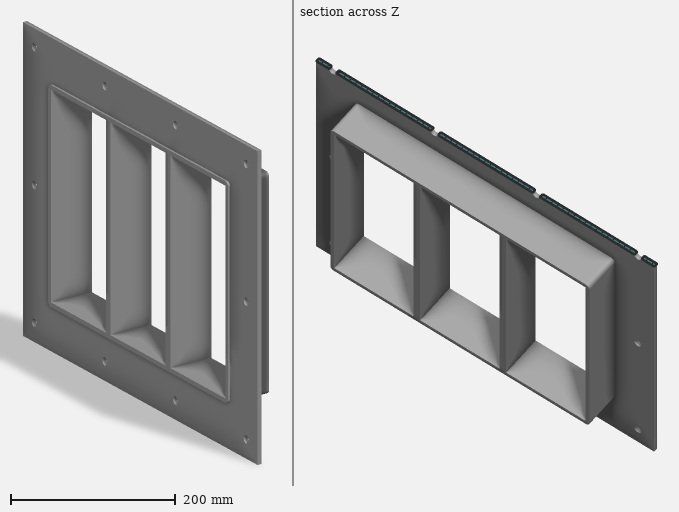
import cadquery as cq

flange_width = 513.5
flange_height = 410.0
flange_thickness = 6.0

flange_margin = 60.0
duct_width = flange_width - 2 * flange_margin
duct_height = flange_height - 2 * flange_margin
duct_depth = 60.0
duct_front_lip = 3.0
duct_wall = 6.0
duct_corner_radius = 6.0
bay_count = 3
divider_thickness = 10.0

hole_diameter = 10.5
hole_edge_distance = 25.0
hole_intervals_x = 3
hole_intervals_z = 2


def block_along_y(width, height, front_y, depth):
    """Block centred on the Y axis, running from front_y toward +Y."""
    block = cq.Workplane("XY").box(width, depth, height, centered=(True, False, True))
    return block.translate((0, front_y, 0))


def make_flange():
    return block_along_y(flange_width, flange_height, 0, flange_thickness)


def make_duct_body():
    """Solid duct envelope with its four long edges rounded."""
    body = block_along_y(duct_width, duct_height, -duct_front_lip, duct_depth)
    return body.edges("|Y").fillet(duct_corner_radius)


def make_bay_openings():
    """Equal sharp-cornered openings separated by the dividers."""
    inner_width = duct_width - 2 * duct_wall
    inner_height = duct_height - 2 * duct_wall
    bay_width = (inner_width - (bay_count - 1) * divider_thickness) / bay_count
    bay_pitch = bay_width + divider_thickness
    opening = block_along_y(bay_width, inner_height, -duct_front_lip, duct_depth)
    openings = cq.Workplane("XY")
    for index in range(bay_count):
        offset_x = (index - (bay_count - 1) / 2) * bay_pitch
        openings = openings.add(opening.translate((offset_x, 0, 0)))
    return openings.combine()


def make_mounting_holes():
    """Cylinders on the rectangular perimeter pattern, through the flange thickness."""
    half_span_x = flange_width / 2 - hole_edge_distance
    half_span_z = flange_height / 2 - hole_edge_distance
    centres = []
    for column in range(hole_intervals_x + 1):
        for row in range(hole_intervals_z + 1):
            on_side = column in (0, hole_intervals_x)
            on_top_or_bottom = row in (0, hole_intervals_z)
            if on_side or on_top_or_bottom:
                x = half_span_x * (2 * column / hole_intervals_x - 1)
                z = half_span_z * (2 * row / hole_intervals_z - 1)
                centres.append((x, z))
    return cq.Workplane("XZ").pushPoints(centres).circle(hole_diameter / 2).extrude(-flange_thickness)


result = make_flange().union(make_duct_body()).cut(make_bay_openings()).cut(make_mounting_holes())